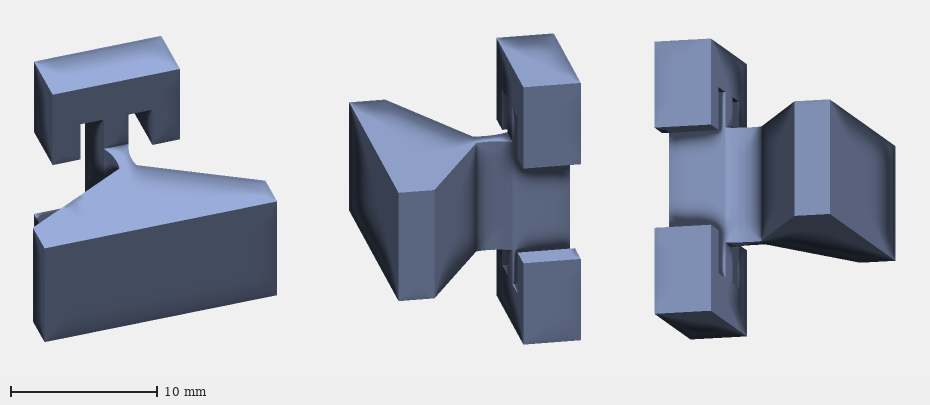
import cadquery as cq

clip_height = 19.0
clip_width = 9.2
clip_depth = 4.0
web_width = 1.79
cap_thickness = 3.0
hook_length = 6.0
hook_width = 2.0

head_height = 8.0
head_width = 16.8
overall_depth = 13.5
rim_depth = 2.5
neck_end_x = 6.48
neck_end_half_width = 0.6
waist_x = 5.59
waist_half_width = 0.53


def box_between(x_range, y_range, z_range):
    """Box spanning the given ranges."""
    sizes = [high - low for low, high in (x_range, y_range, z_range)]
    corner = (x_range[0], y_range[0], z_range[0])
    return cq.Workplane("XY").box(*sizes, centered=False).translate(corner)


def make_clip():
    """Web with a cap and two hooks at each end."""
    depth = (0, clip_depth)
    half_height = clip_height / 2
    half_width = clip_width / 2
    cap_inner_z = half_height - cap_thickness
    hook_tip_z = half_height - hook_length

    web = box_between(depth, (-web_width / 2, web_width / 2), (-half_height, half_height))
    cap = box_between(depth, (-half_width, half_width), (cap_inner_z, half_height))
    hook = box_between(depth, (half_width - hook_width, half_width), (hook_tip_z, half_height))
    end = cap.union(hook).union(hook.mirror("XZ"))
    return web.union(end).union(end.mirror("XY"))


def make_head():
    """Neck and wedge, extruded symmetrically about mid-height."""
    half_web = web_width / 2
    half_head = head_width / 2
    rim_x = overall_depth - rim_depth
    return (
        cq.Workplane("XY")
        .moveTo(clip_depth, -half_web)
        .threePointArc((waist_x, -waist_half_width), (neck_end_x, -neck_end_half_width))
        .lineTo(rim_x, -half_head)
        .lineTo(overall_depth, -half_head)
        .lineTo(overall_depth, half_head)
        .lineTo(rim_x, half_head)
        .lineTo(neck_end_x, neck_end_half_width)
        .threePointArc((waist_x, waist_half_width), (clip_depth, half_web))
        .close()
        .extrude(head_height / 2, both=True)
    )


result = make_clip().union(make_head())